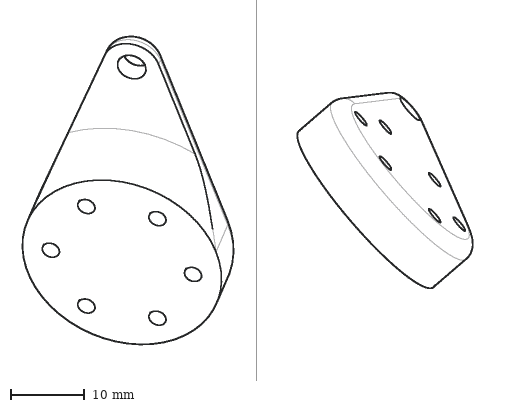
import cadquery as cq
import math

height = 48.0
disc_radius = 28.0 / 2
thickness = 8.0
eye_radius = 4.0
eye_hole_diameter = 4.0
plate_thickness = 3.0
back_round = 2.0
bolt_circle_radius = 10.0
bolt_hole_diameter = 2.4
bolt_count = 6

eye_height = height - disc_radius - eye_radius
cove_radius = thickness - plate_thickness
cove_outer_radius = disc_radius + cove_radius


def front_plane(y):
    """Sketch plane with X right and Z up, whose extrusions run towards +Y for negative lengths."""
    return cq.Workplane("XZ", origin=(0, y, 0))


def make_teardrop():
    """Full-thickness blank: disc and eye joined by their common tangents, rounded at the back."""
    slope = (disc_radius - eye_radius) / eye_height
    side = math.sqrt(1 - slope**2)
    disc_x, disc_z = disc_radius * side, disc_radius * slope
    eye_x, eye_z = eye_radius * side, eye_height + eye_radius * slope
    blank = (
        front_plane(0)
        .moveTo(disc_x, disc_z)
        .lineTo(eye_x, eye_z)
        .threePointArc((0, eye_height + eye_radius), (-eye_x, eye_z))
        .lineTo(-disc_x, disc_z)
        .threePointArc((0, -disc_radius), (disc_x, disc_z))
        .close()
        .extrude(-thickness)
    )
    return blank.faces(">Y").edges().fillet(back_round)


def make_front_relief():
    """Material in front of the thin plate and outside the disc, with a concave cove at its root."""
    relief_radius = height
    diagonal = cove_radius * math.sqrt(0.5)
    profile = (
        cq.Workplane("XY")
        .moveTo(disc_radius, 0)
        .threePointArc(
            (cove_outer_radius - diagonal, diagonal),
            (cove_outer_radius, cove_radius),
        )
        .lineTo(relief_radius, cove_radius)
        .lineTo(relief_radius, 0)
        .close()
    )
    return profile.revolve(360, (0, 0, 0), (0, 1, 0))


def make_holes():
    """Through holes: a ring in the disc and one in the eye."""
    ring = (
        front_plane(0)
        .polarArray(bolt_circle_radius, 0, 360, bolt_count)
        .circle(bolt_hole_diameter / 2)
        .extrude(-thickness)
    )
    eye = (
        front_plane(0)
        .center(0, eye_height)
        .circle(eye_hole_diameter / 2)
        .extrude(-thickness)
    )
    return ring.union(eye)


result = make_teardrop().cut(make_front_relief()).cut(make_holes())